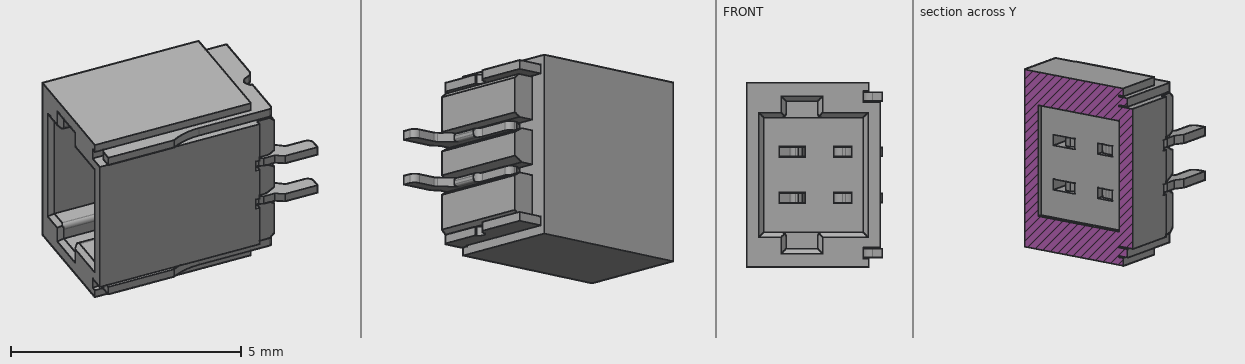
import cadquery as cq


body_width = 2.65
body_depth = 3.75
body_height = 4.0
core_width = 2.9
core_depth = 3.84

sheet = 0.2
slot_height = 0.24
clip_z = 1.7
contact_z = 0.5
buried_depth = 3.335
core_half_height = clip_z - slot_height / 2

cavity_left = 0.375
cavity_right = 2.525
cavity_height = 2.485
cavity_depth = 2.7
key_left = 0.86
key_right = 1.54
key_height = 3.2
key_depth = 2.5
key_corner_radius = 0.105
mouth_chamfer = 0.11

block_left = 0.395
block_right = 2.78
block_back = 4.25
end_chamfer_y = 0.11
end_chamfer_z = 0.1
outer_notch_y = 0.13
outer_notch_z = 0.085
inner_notch_y = 0.2
inner_notch_z = 0.115

clip_left = 0.11
clip_root = 2.395
clip_slot_left = 2.535
clip_front = 0.18
clip_right = 2.95
clip_nose_radius = 0.19
arm_right = 2.76
thick_arm_end = 1.76
thin_arm_start = 2.45
arm_curve_x = 2.81
arm_curve_y = 2.095
arm_corner_radius = 0.08
clip_back = 4.37
arm_back = 4.215
recess_left = 1.285
recess_shoulder_x = 1.415
recess_shoulder_y = 4.28
recess_shoulder_radius = 0.155
recess_slope_x = 1.48
recess_slope_y = 4.16
recess_bottom_x = 1.595
recess_bottom = 4.095
recess_right = 1.73
recess_side = 4.175

tail_left = 2.61
tail_end = 5.21
tail_tip_radius = 0.145
tail_bend_radius = 0.13
tail_inner_bend = 4.6
tail_outer_bend = 4.435
heel_right = 2.835
heel_top = 4.235
heel_bottom = 3.97
heel_end = 3.88

base_left = 0.71
base_neck = 0.81
base_flare = 3.915
base_back = 4.13
base_radius = 0.145
step_x = 1.73
step_radius = 0.135
step_back = base_back + step_radius
step_end = 2.355
step_edge_radius = 0.06

window_left_edges = (0.71, 1.89)
window_right_edges = (1.275, 2.28)
tine_tip = cavity_depth + 0.05
left_tine_shoulder_x = 0.94
left_tine_shoulder_drop = 0.105
left_tine_radius = 0.125
left_tine_flat = (1.05, 1.125)
left_tine_break_x = 1.215
left_tine_break_drop = 0.06
right_tine_radius = 0.18
right_tine_flat_end = 2.145
right_tine_bulge_drop = 0.035
right_tine_bulge_radius = 0.26


def box(x0, x1, y0, y1, z0, z1):
    return cq.Workplane("XY").box(x1 - x0, y1 - y0, z1 - z0, centered=False).translate((x0, y0, z0))


def plate(outline, mid_z):
    """Sheet-metal plate of the closed XY outline, centred on Z = mid_z."""
    return outline.close().extrude(sheet / 2, both=True).translate((0, 0, mid_z))


def mouth(x0, x1, height):
    """Rectangular funnel that opens at 45 degrees towards the mating face."""
    outer_width = x1 - x0 + 2 * mouth_chamfer
    outer_height = height + 2 * mouth_chamfer
    sketch = cq.Workplane("XZ").center((x0 + x1) / 2, 0).rect(outer_width, outer_height)
    return sketch.extrude(-mouth_chamfer, taper=45)


def make_cavity():
    cavity = box(cavity_left, cavity_right, 0, cavity_depth, -cavity_height / 2, cavity_height / 2)
    cavity = cavity.union(box(key_left, key_right, 0, key_depth, -key_height / 2, key_height / 2))
    for x in (key_left, key_right):
        for z in (-cavity_height / 2, cavity_height / 2):
            corner = cq.selectors.NearestToPointSelector((x, key_depth / 2, z))
            cavity = cavity.edges(corner).fillet(key_corner_radius)
    cavity = cavity.union(mouth(cavity_left, cavity_right, cavity_height))
    return cavity.union(mouth(key_left, key_right, key_height))


def make_rear_blocks():
    """Rear block bar, split by the two contact slots with chamfered lips."""
    slot_outer = contact_z + slot_height / 2
    slot_inner = contact_z - slot_height / 2
    upper_half = [
        (body_depth, 0),
        (block_back, 0),
        (block_back, slot_inner - inner_notch_z),
        (block_back - inner_notch_y, slot_inner),
        (body_depth, slot_inner),
        (body_depth, slot_outer),
        (block_back - outer_notch_y, slot_outer),
        (block_back, slot_outer + outer_notch_z),
        (block_back, core_half_height - end_chamfer_z),
        (block_back - end_chamfer_y, core_half_height),
        (buried_depth, core_half_height),
        (buried_depth, 0),
    ]
    profile = cq.Workplane("YZ").polyline(upper_half).close()
    half = profile.extrude(block_right - block_left).translate((block_left, 0, 0))
    return half.union(half.mirror("XY"))


def make_housing():
    half_height = body_height / 2
    body = box(0, body_width, 0, body_depth, -half_height, half_height)
    core = box(clip_slot_left, core_width, 0, core_depth, -core_half_height, core_half_height)
    housing = body.union(core).union(make_rear_blocks()).cut(make_cavity())
    for side in (-1, 1):
        slot_bottom = side * clip_z - slot_height / 2
        slot_top = slot_bottom + slot_height
        housing = housing.cut(box(clip_slot_left, core_width, 0, body_depth, slot_bottom, slot_top))
        window_bottom = side * contact_z - slot_height / 2
        window_top = window_bottom + slot_height
        for x0, x1 in zip(window_left_edges, window_right_edges):
            housing = housing.cut(box(x0, x1, cavity_depth, buried_depth, window_bottom, window_top))
        housing = housing.cut(box(body_width, core_width, body_depth, core_depth, window_bottom, window_top))
    return housing


def make_clip(mid_z):
    outline = (
        cq.Workplane("XY")
        .moveTo(clip_left, buried_depth)
        .lineTo(clip_left, clip_back)
        .lineTo(recess_left, clip_back)
        .radiusArc((recess_shoulder_x, recess_shoulder_y), recess_shoulder_radius)
        .lineTo(recess_slope_x, recess_slope_y)
        .threePointArc((recess_bottom_x, recess_bottom), (recess_right, recess_side))
        .lineTo(recess_right, arm_back)
        .lineTo(arm_right - arm_corner_radius, arm_back)
        .radiusArc((arm_right, arm_back - arm_corner_radius), arm_corner_radius)
        .lineTo(arm_right, thin_arm_start)
        .threePointArc((arm_curve_x, arm_curve_y), (clip_right, thick_arm_end))
        .lineTo(clip_right, clip_front)
        .lineTo(clip_slot_left + clip_nose_radius, clip_front)
        .radiusArc((clip_slot_left, clip_front + clip_nose_radius), clip_nose_radius)
        .lineTo(clip_root, clip_front + clip_nose_radius)
        .lineTo(clip_root, buried_depth)
    )
    return plate(outline, mid_z)


def make_contact_base(mid_z):
    """Solder tail and the bar across the back of the housing."""
    outline = (
        cq.Workplane("XY")
        .moveTo(base_neck, buried_depth)
        .lineTo(base_neck, body_depth)
        .lineTo(base_left, base_flare)
        .lineTo(base_left, base_back - base_radius)
        .radiusArc((base_left + base_radius, base_back), base_radius)
        .lineTo(step_x - step_radius, base_back)
        .radiusArc((step_x, step_back), -step_radius)
        .lineTo(step_end, step_back)
        .lineTo(tail_left, tail_inner_bend)
        .lineTo(tail_left, tail_end - tail_tip_radius)
        .radiusArc((tail_left + tail_tip_radius, tail_end), tail_tip_radius)
        .lineTo(clip_right, tail_end)
        .lineTo(clip_right, tail_outer_bend)
        .lineTo(heel_right, heel_top)
        .lineTo(heel_right, heel_bottom)
        .lineTo(block_right, heel_end)
        .lineTo(block_right, buried_depth)
    )
    base = plate(outline, mid_z)
    bend = cq.selectors.NearestToPointSelector((tail_left, tail_inner_bend, mid_z))
    base = base.edges(bend).fillet(tail_bend_radius)
    for face in (-1, 1):
        rim_point = ((step_x + step_end) / 2, step_back, mid_z + face * sheet / 2)
        rim = cq.selectors.NearestToPointSelector(rim_point)
        base = base.edges(rim).fillet(step_edge_radius)
    return base


def make_left_tine(mid_z):
    flat_start, flat_end = left_tine_flat
    outline = (
        cq.Workplane("XY")
        .moveTo(window_left_edges[0], buried_depth)
        .lineTo(left_tine_shoulder_x, tine_tip + left_tine_shoulder_drop)
        .radiusArc((flat_start, tine_tip), -left_tine_radius)
        .lineTo(flat_end, tine_tip)
        .lineTo(left_tine_break_x, tine_tip + left_tine_break_drop)
        .lineTo(window_right_edges[0], buried_depth)
    )
    return plate(outline, mid_z)


def make_right_tine(mid_z):
    left, right = window_left_edges[1], window_right_edges[1]
    outline = (
        cq.Workplane("XY")
        .moveTo(left, buried_depth)
        .lineTo(left, tine_tip + right_tine_radius)
        .radiusArc((left + right_tine_radius, tine_tip), -right_tine_radius)
        .lineTo(right_tine_flat_end, tine_tip)
        .radiusArc((right, tine_tip + right_tine_bulge_drop), -right_tine_bulge_radius)
        .lineTo(right, buried_depth)
    )
    return plate(outline, mid_z)


def make_contact(mid_z):
    return make_contact_base(mid_z).union(make_left_tine(mid_z)).union(make_right_tine(mid_z))


result = make_housing()
for side in (-1, 1):
    result = result.union(make_clip(side * clip_z))
    result = result.union(make_contact(side * contact_z))